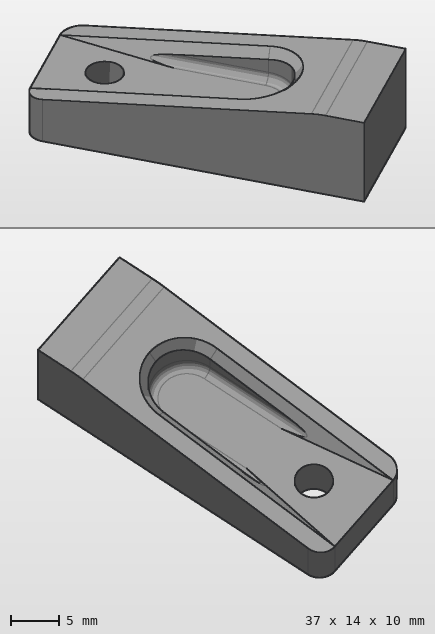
import cadquery as cq
import math

length = 37.0
width = 14.0
height = 10.0
nose_height = 5.0
ramp_length = 32.0
crest_radius = 10.0
nose_corner_radius = 2.0

slot_width = 8.0
slot_end_center_x = 23.0
slot_floor_z = nose_height
slot_floor_fillet = 1.0
rim_bevel = 1.0

hole_diameter = 4.0
hole_x = 6.5

ramp_slope = (height - nose_height) / ramp_length
ramp_angle = math.atan(ramp_slope)
ramp_cos = math.cos(ramp_angle)
ramp_sin = math.sin(ramp_angle)
slot_radius = slot_width / 2
rim_radius = slot_radius + rim_bevel
nose_overrun = 5.0


def ramp_z(x):
    """Height of the ramp plane at x."""
    return nose_height + ramp_slope * x


bevel_top = (
    slot_end_center_x - rim_bevel * ramp_sin,
    0,
    ramp_z(slot_end_center_x - rim_bevel * ramp_sin),
)
bevel_bottom = (slot_end_center_x, 0, ramp_z(slot_end_center_x) - rim_bevel / ramp_cos)


def make_body():
    """Wedge with a ramp, a rounded crest and rounded vertical nose corners."""
    profile = [
        (0, 0),
        (length, 0),
        (length, height),
        (ramp_length, height),
        (0, nose_height),
    ]
    wedge = cq.Workplane("XZ").polyline(profile).close().extrude(width / 2, both=True)
    crest_edge = cq.selectors.NearestToPointSelector((ramp_length, 0, height))
    wedge = wedge.edges(crest_edge).fillet(crest_radius)
    return wedge.edges("|Z and <X").fillet(nose_corner_radius)


def make_slot_cutter():
    """Straight-walled slot with a round inner end and a rounded floor edge."""
    end_tip = (slot_end_center_x + slot_radius, 0)
    slot = (
        cq.Workplane("XY", origin=(0, 0, slot_floor_z))
        .moveTo(-nose_overrun, -slot_radius)
        .lineTo(slot_end_center_x, -slot_radius)
        .threePointArc(end_tip, (slot_end_center_x, slot_radius))
        .lineTo(-nose_overrun, slot_radius)
        .close()
        .extrude(height - slot_floor_z)
    )
    return slot.faces("<Z").edges("not <X").fillet(slot_floor_fillet)


def half_oval(origin, slope, radius):
    """Closed half oval on a plane rising along X, a half circle of `radius` seen from above."""
    plane = cq.Plane(origin=origin, xDir=(1, 0, slope), normal=(-slope, 0, 1))
    long_radius = radius * math.hypot(1, slope)
    return (
        cq.Workplane(plane)
        .moveTo(0, -radius)
        .ellipseArc(long_radius, radius, -90, 0)
        .ellipseArc(long_radius, radius, 0, 90)
        .close()
        .val()
    )


def make_end_bevel_cutter():
    """Bevel around the round end, ruled between its edge on the wall and its edge on the ramp."""
    wall_edge_slope = ramp_slope * rim_radius / slot_radius
    lower = half_oval(bevel_bottom, wall_edge_slope, slot_radius)
    upper = half_oval(bevel_top, ramp_slope, rim_radius)
    return cq.Workplane(cq.Solid.makeLoft([lower, upper], True))


def make_side_bevel_cutter():
    """45 degree bevels along both sides, running down past the floor fillet to the slot floor."""
    down_ramp = cq.Plane(
        origin=bevel_top,
        xDir=(0, 1, 0),
        normal=(-ramp_cos, 0, -ramp_sin),
    )
    depth = rim_bevel + slot_floor_fillet
    section = [
        (-rim_radius, 0),
        (rim_radius, 0),
        (rim_radius - depth, depth),
        (depth - rim_radius, depth),
    ]
    run = (slot_end_center_x + nose_overrun) / ramp_cos
    bevels = cq.Workplane(down_ramp).polyline(section).close().extrude(run)
    above_floor = cq.Workplane("XY", origin=(0, 0, slot_floor_z)).box(
        2 * length, width, height, centered=(True, True, False)
    )
    return bevels.intersect(above_floor)


def make_hole_cutter():
    """Plain vertical through hole."""
    return cq.Workplane("XY").center(hole_x, 0).circle(hole_diameter / 2).extrude(height)


result = (
    make_body()
    .cut(make_slot_cutter())
    .cut(make_end_bevel_cutter())
    .cut(make_side_bevel_cutter())
    .cut(make_hole_cutter())
)